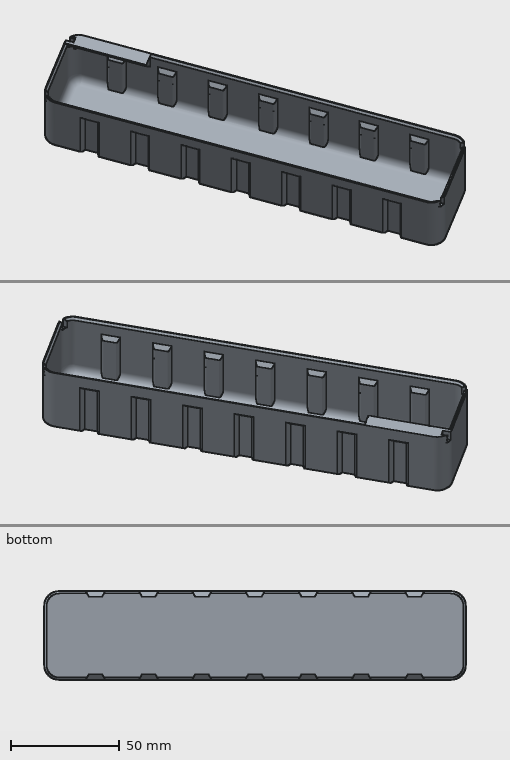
import cadquery as cq
import math

length = 195.0
width = 41.1
height = 33.7
wall = 1.5
floor_thickness = 1.5
corner_radius = 7.0
floor_fillet = 4.0
base_chamfer = 1.2
rim_flat = 0.4

groove_count = 7
groove_pitch = 24.5
groove_width = 9.2
groove_depth = 2.7
groove_top = height - 6.5
flank_angle = 30.0
rib_skin = 0.8
rib_edge_radius = 0.8

shelf_length = 40.0
shelf_edge = 1.2
shelf_drop = 7.0

notch_offset = 3.0
notch_width = 2.3
notch_depth = 4.9
notch_length = 3.9
notch_bevel_width = 0.5
notch_bevel_drop = 0.49

web_thickness = 1.0


def rounded_block(inset, bottom, top):
    """Block with rounded corners, inset from the outer sides of the tray."""
    return (
        cq.Workplane("XY", origin=(0, 0, bottom))
        .rect(length - 2 * inset, width - 2 * inset)
        .extrude(top - bottom)
        .edges("|Z")
        .fillet(corner_radius - inset)
    )


def tapered_bar(x, start_depth, end_depth, half_width, top):
    """Upright bar at the front side, narrowing as it runs inward.

    The half width and top height are those at the outer face. The flanks close in at
    the flank angle and the top falls at 45 degrees.
    """
    sections = []
    for depth in (start_depth, end_depth):
        half = half_width - depth * math.tan(math.radians(flank_angle))
        section = (
            cq.Workplane("XZ", origin=(x, depth - width / 2, 0))
            .moveTo(-half, 0)
            .lineTo(half, 0)
            .lineTo(half, top - depth)
            .lineTo(-half, top - depth)
            .close()
        )
        sections.append(section.wires().val())
    return cq.Workplane(cq.Solid.makeLoft(sections, True))


envelope = rounded_block(0, 0, height).faces("<Z").edges().chamfer(base_chamfer)


def make_shell():
    """Open tray with a rounded floor edge and a bevelled rim."""
    cavity = rounded_block(wall, floor_thickness, height).faces("<Z").edges().fillet(floor_fillet)
    rim_bevel = wall - rim_flat
    cutter = rounded_block(rim_flat, height - 2 * rim_bevel, height + rim_bevel)
    cutter = cutter.faces("<Z").edges().chamfer(2 * rim_bevel)
    return envelope.cut(cavity).cut(cutter)


def make_shelf():
    """Wedge-shaped shelf along the rear side, with the web at its left end."""
    run_to_wall = corner_radius - wall
    root_depth = shelf_edge + shelf_drop * corner_radius / run_to_wall
    front_y = width / 2 - corner_radius
    wedge = (
        cq.Workplane("YZ", origin=(-length / 2, 0, 0))
        .moveTo(front_y, height)
        .lineTo(front_y, height - shelf_edge)
        .lineTo(width / 2, height - root_depth)
        .lineTo(width / 2, height)
        .close()
        .extrude(shelf_length)
    )
    web_width = notch_offset + notch_width
    web = (
        cq.Workplane("XY")
        .box(notch_length + web_thickness, web_width, notch_depth, centered=False)
        .translate((-length / 2, width / 2 - web_width, height - notch_depth))
    )
    return wedge.union(web).intersect(envelope)


def make_groove(x):
    """Groove in the front side, open at the bottom."""
    return tapered_bar(x, 0, groove_depth, groove_width / 2, groove_top)


def make_rib(x):
    """Rib that follows the groove at the skin thickness, with rounded upright edges."""
    side_growth = rib_skin / math.cos(math.radians(flank_angle))
    top_growth = rib_skin * math.sqrt(2)
    bar = tapered_bar(
        x,
        wall / 2,
        groove_depth + rib_skin,
        groove_width / 2 + side_growth,
        groove_top + top_growth,
    )
    return bar.faces(">Y").edges("|Z").fillet(rib_edge_radius)


def make_notch():
    """Notch at the right front corner."""
    outer_y = notch_offset - width / 2
    inner_y = outer_y + notch_width
    return (
        cq.Workplane("YZ", origin=(length / 2 - notch_length, 0, 0))
        .moveTo(outer_y - notch_bevel_width, height)
        .lineTo(outer_y, height - notch_bevel_drop)
        .lineTo(outer_y, height - notch_depth)
        .lineTo(inner_y, height - notch_depth)
        .lineTo(inner_y, height)
        .close()
        .extrude(notch_length)
    )


tray = make_shell().union(make_shelf())

for index in range(groove_count):
    groove_x = (index - (groove_count - 1) / 2) * groove_pitch
    rib = make_rib(groove_x).intersect(envelope)
    groove = make_groove(groove_x)
    tray = tray.union(rib).union(rib.mirror("XZ"))
    tray = tray.cut(groove).cut(groove.mirror("XZ"))

front_notches = make_notch().union(make_notch().mirror("YZ"))
tray = tray.cut(front_notches).cut(front_notches.mirror("XZ"))

result = tray